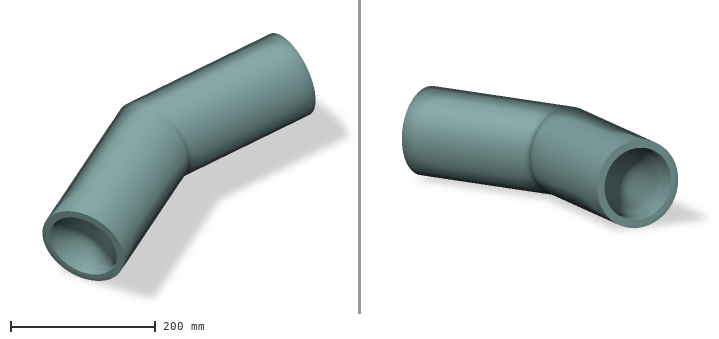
import cadquery as cq
import math

total_length = 460.5
outer_diameter = 125.0
inner_diameter = 102.0
bend_angle = 30.0

bend = math.radians(bend_angle)
outer_radius = outer_diameter / 2
leg_length = (total_length - outer_radius * math.sin(bend)) / (1 + math.cos(bend))

corner = (0, leg_length)
far_end = (leg_length * math.sin(bend), leg_length * (1 + math.cos(bend)))
centreline = cq.Workplane("XY").polyline([(0, 0), corner, far_end])

ring = cq.Workplane("XZ").circle(outer_radius).circle(inner_diameter / 2)
result = ring.sweep(centreline, transition="right")